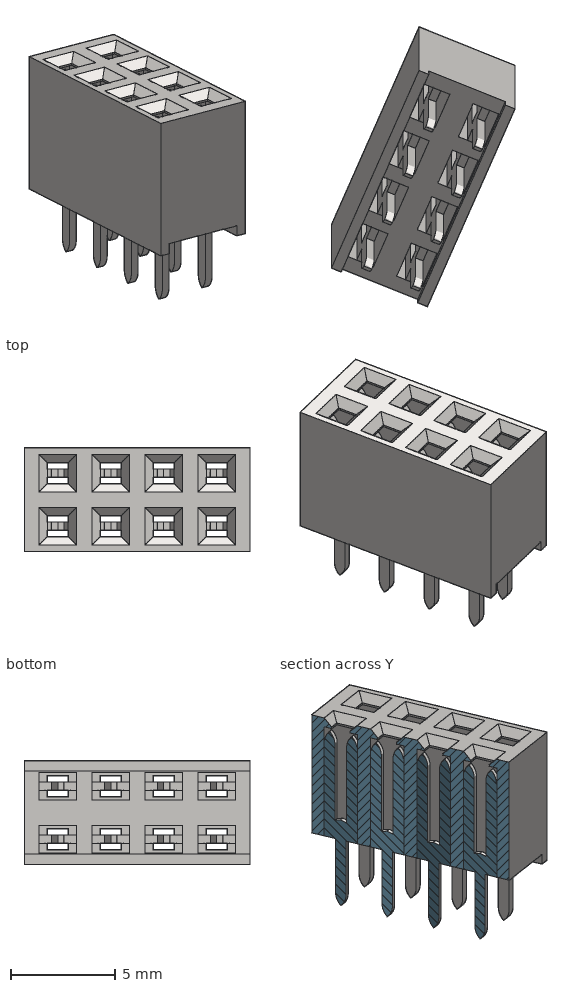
import cadquery as cq
import math

LENGTH = 10.82
WIDTH = 5.0
HEIGHT = 6.83
FOOT_WIDTH = 0.51
FOOT_HEIGHT = 0.52

PITCH = 2.54
COLUMNS = 4
ROWS = 2

MOUTH_SIZE = 1.8
THROAT_SIZE = 1.0
MOUTH_DEPTH = (MOUTH_SIZE - THROAT_SIZE) / 2
THROAT_DEPTH = 0.1
CAVITY_CLEARANCE = 0.48

BLADE_WIDTH = 0.6
BLADE_THICKNESS = 0.4
POINT_HEIGHT = 0.63
TAIL_LENGTH = 2.98
FORK_GAP = 0.62
TINE_TIP_DEPTH = 0.66
YOKE_HEIGHT = 1.0
RIDGE_ANGLE = 15

FORK_WIDTH = FORK_GAP + 2 * BLADE_WIDTH
CAVITY_LENGTH = FORK_WIDTH
CAVITY_WIDTH = CAVITY_LENGTH - CAVITY_CLEARANCE
THROAT_BOTTOM = HEIGHT - MOUTH_DEPTH - THROAT_DEPTH

RIDGE_HEIGHT = FORK_GAP / 2 * math.tan(math.radians(RIDGE_ANGLE))

HALF_BLADE = BLADE_WIDTH / 2
FLANK_ANGLE = 2 * math.atan(HALF_BLADE / POINT_HEIGHT)
FLANK_RADIUS = POINT_HEIGHT / math.sin(FLANK_ANGLE)

positions = [
    ((column - (COLUMNS - 1) / 2) * PITCH, (row - (ROWS - 1) / 2) * PITCH)
    for column in range(COLUMNS)
    for row in range(ROWS)
]


def make_socket():
    """Empty space of one socket, centred on the Z axis."""
    cavity = cq.Workplane("XY").workplane(offset=FOOT_HEIGHT).rect(CAVITY_LENGTH, CAVITY_WIDTH)
    cavity = cavity.extrude(THROAT_BOTTOM - FOOT_HEIGHT)
    throat = cq.Workplane("XY").workplane(offset=THROAT_BOTTOM).rect(THROAT_SIZE, THROAT_SIZE)
    throat = throat.extrude(THROAT_DEPTH)
    mouth = cq.Workplane("XY").workplane(offset=HEIGHT).rect(MOUTH_SIZE, MOUTH_SIZE)
    mouth = mouth.workplane(offset=-MOUTH_DEPTH).rect(THROAT_SIZE, THROAT_SIZE).loft(ruled=True)
    return cavity.union(throat).union(mouth)


def make_housing():
    """Block with a foot along each long side and one socket per contact."""
    block = cq.Workplane("XY").box(LENGTH, WIDTH, HEIGHT, centered=(True, True, False))
    channel_width = WIDTH - 2 * FOOT_WIDTH
    channel = cq.Workplane("XY").box(LENGTH, channel_width, FOOT_HEIGHT, centered=(True, True, False))
    block = block.cut(channel)
    socket = make_socket()
    for x, y in positions:
        block = block.cut(socket.translate((x, y, 0)))
    return block


def extrude_profile(profile):
    """Give a closed XZ profile the blade thickness, centred on Y = 0."""
    return profile.close().extrude(BLADE_THICKNESS / 2, both=True)


def make_blade(x, base_z, tip_z):
    """Straight blade from base_z to a sharp point at tip_z, above or below the base."""
    direction = 1 if tip_z > base_z else -1
    shoulder_z = tip_z - direction * POINT_HEIGHT
    bulge_x = HALF_BLADE - FLANK_RADIUS * (1 - math.cos(FLANK_ANGLE / 2))
    bulge_z = shoulder_z + direction * FLANK_RADIUS * math.sin(FLANK_ANGLE / 2)
    profile = (
        cq.Workplane("XZ")
        .moveTo(x - HALF_BLADE, base_z)
        .lineTo(x + HALF_BLADE, base_z)
        .lineTo(x + HALF_BLADE, shoulder_z)
        .threePointArc((x + bulge_x, bulge_z), (x, tip_z))
        .threePointArc((x - bulge_x, bulge_z), (x - HALF_BLADE, shoulder_z))
    )
    return extrude_profile(profile)


def make_contact():
    """Fork contact: yoke with a ridged floor, two tines and a tail."""
    yoke_top = FOOT_HEIGHT + YOKE_HEIGHT
    yoke = extrude_profile(
        cq.Workplane("XZ")
        .moveTo(-FORK_WIDTH / 2, FOOT_HEIGHT)
        .lineTo(FORK_WIDTH / 2, FOOT_HEIGHT)
        .lineTo(FORK_WIDTH / 2, yoke_top)
        .lineTo(FORK_GAP / 2, yoke_top)
        .lineTo(0, yoke_top + RIDGE_HEIGHT)
        .lineTo(-FORK_GAP / 2, yoke_top)
        .lineTo(-FORK_WIDTH / 2, yoke_top)
    )
    contact = yoke.union(make_blade(0, FOOT_HEIGHT, -TAIL_LENGTH))
    tine_x = (FORK_GAP + BLADE_WIDTH) / 2
    for x in (-tine_x, tine_x):
        contact = contact.union(make_blade(x, yoke_top, HEIGHT - TINE_TIP_DEPTH))
    return contact


housing = make_housing()
contact = make_contact()
contacts = [contact.translate((x, y, 0)) for x, y in positions]

result = cq.Compound.makeCompound([housing.val(), *[body.val() for body in contacts]])